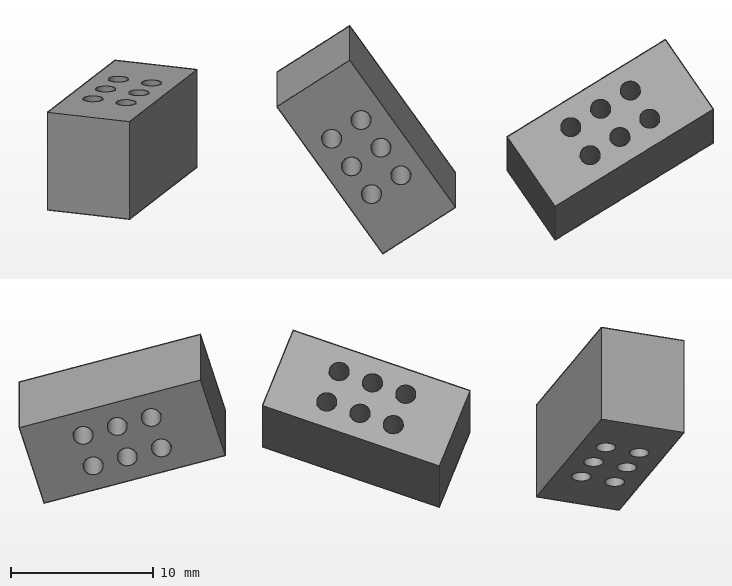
import cadquery as cq

WIDTH = 6.2
LENGTH = 13.3
HEIGHT = 7.2

HOLE_DIAMETER = 1.4
HOLE_PITCH = 2.5
HOLE_COLUMNS = 2
HOLE_ROWS = 3


def make_block():
    """Plain rectangular block, centred in X and Y, standing on Z = 0."""
    return cq.Workplane("XY").box(WIDTH, LENGTH, HEIGHT, centered=(True, True, False))


def drill_hole_grid(body):
    """Drill the grid of holes from the top face right through the block."""
    return (
        body.faces(">Z")
        .workplane()
        .rarray(HOLE_PITCH, HOLE_PITCH, HOLE_COLUMNS, HOLE_ROWS)
        .hole(HOLE_DIAMETER)
    )


result = drill_hole_grid(make_block())